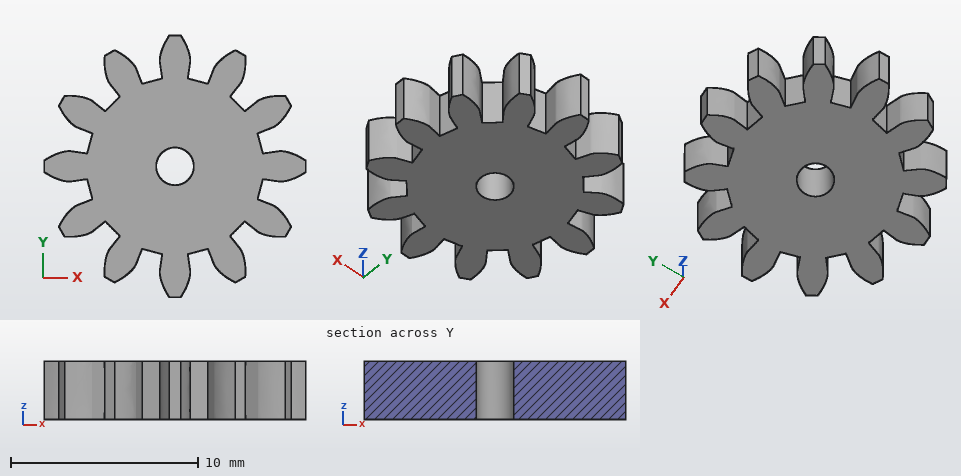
import cadquery as cq
import math

overall_size = 13.99
thickness = 3.12
bore_diameter = 2.0
tooth_count = 12
pressure_angle = math.radians(20)
addendum_factor = 1.0
dedendum_factor = 1.25
involute_steps = 6


def involute_angle(angle):
    """Polar angle swept by an involute where its pressure angle is `angle`."""
    return math.tan(angle) - angle


tooth_pitch = 2 * math.pi / tooth_count
tip_to_pitch_ratio = 1 + 2 * addendum_factor / tooth_count
tip_pressure_angle = math.acos(math.cos(pressure_angle) / tip_to_pitch_ratio)
base_half_angle = tooth_pitch / 4 + involute_angle(pressure_angle)
tip_half_angle = base_half_angle - involute_angle(tip_pressure_angle)

tip_radius = overall_size / 2 / math.cos(tip_half_angle)
pitch_radius = tip_radius / tip_to_pitch_ratio
module = 2 * pitch_radius / tooth_count
base_radius = pitch_radius * math.cos(pressure_angle)
root_radius = pitch_radius - dedendum_factor * module


def polar(radius, angle):
    return (radius * math.cos(angle), radius * math.sin(angle))


def rising_flank(center_angle):
    """Involute points from the base circle out to the tip."""
    points = []
    for step in range(involute_steps + 1):
        local_angle = tip_pressure_angle * step / involute_steps
        radius = base_radius / math.cos(local_angle)
        offset = base_half_angle - involute_angle(local_angle)
        points.append(polar(radius, center_angle - offset))
    return points


def falling_flank(center_angle):
    """Involute points on the opposite side, from the tip in to the base circle."""
    points = []
    for x, y in reversed(rising_flank(-center_angle)):
        points.append((x, -y))
    return points


def gear_outline():
    """Teeth with radial roots, involute flanks and flat tips, joined by flat gaps."""
    outline = cq.Workplane("XY").moveTo(*polar(root_radius, -base_half_angle))
    for tooth in range(tooth_count):
        center_angle = tooth * tooth_pitch
        rising = rising_flank(center_angle)
        falling = falling_flank(center_angle)
        if tooth > 0:
            outline = outline.lineTo(*polar(root_radius, center_angle - base_half_angle))
        outline = outline.lineTo(*rising[0])
        outline = outline.spline(rising[1:], includeCurrent=True)
        outline = outline.lineTo(*falling[0])
        outline = outline.spline(falling[1:], includeCurrent=True)
        outline = outline.lineTo(*polar(root_radius, center_angle + base_half_angle))
    return outline.close()


gear = gear_outline().extrude(thickness)

result = gear.faces(">Z").workplane(origin=(0, 0, thickness)).hole(bore_diameter)